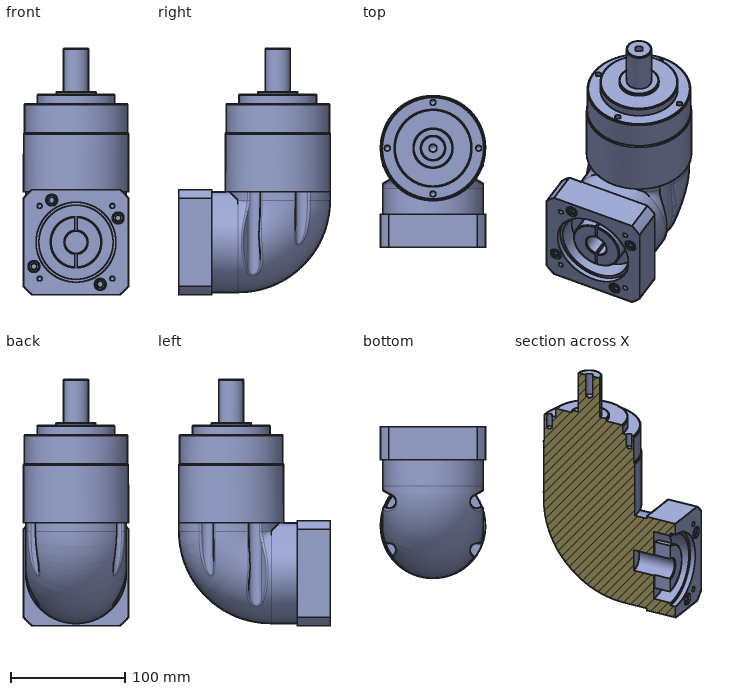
import cadquery as cq
import math


housing_radius = 46.0
housing_top_z = 94.4
flange_radius = 45.3
flange_base_z = 95.9
flange_top_z = 121.3
flange_chamfer = 1.0
pilot_radius = 34.0
pilot_top_z = 129.5
boss_radius = 17.5
boss_top_z = 131.8
shaft_radius = 11.0
shaft_top_z = 169.8
edge_chamfer = 0.8
flange_hole_diameter = 5.0
flange_hole_circle_radius = 40.0
flange_hole_depth = 12.0
shaft_hole_diameter = 6.8
shaft_hole_depth = 20.0
drill_point_angle = 118.0

tube_radius = 44.1
elbow_top_z = tube_radius
stub_centre_y = housing_radius - tube_radius
bend_outer_radius = 81.0
bend_axis_y = housing_radius - bend_outer_radius
bend_axis_z = bend_outer_radius - tube_radius
groove_radius = 5.7
groove_circle_radius = 43.6
groove_angles = (29, 151, 209, 331)
groove_length = 20.0
groove_edge_fillet = 2.0

plate_size = 92.0
plate_corner_radius = 60.0
plate_back_y = -57.7
plate_front_y = -86.8
pilot_recess_radius = 35.0
pilot_recess_depth = 5.0
cavity_radius = 32.5
cavity_depth = 21.7
motor_hole_pitch = 63.6
motor_hole_diameter = 4.2
motor_hole_depth = 12.0

hub_radius = 22.5
hub_front_depth = 6.0
hub_bore_radius = 9.8
hub_bore_depth = 36.0
hub_chamfer = 0.7
hub_slit_width = 2.0

screw_circle_radius = 42.5
screw_angles = (30, 120, 210, 300)
screw_recess_diameter = 10.2
screw_recess_depth = 1.5
screw_head_chamfer = 0.8
hex_across_flats = 5.0
hex_depth = 3.0


def cylinder_z(radius, bottom_z, top_z):
    return cq.Workplane("XY").workplane(offset=bottom_z).circle(radius).extrude(top_z - bottom_z)


def cylinder_y(radius, front_y, length):
    """Cylinder on the motor axis, running from front_y towards +Y."""
    axis_start = cq.Vector(0, front_y, 0)
    return cq.Workplane(cq.Solid.makeCylinder(radius, length, axis_start, cq.Vector(0, 1, 0)))


def drilled_hole(x, y, z, direction, diameter, depth):
    """Blind hole with a conical drill point."""
    radius = diameter / 2
    point_length = radius / math.tan(math.radians(drill_point_angle / 2))
    start = cq.Vector(x, y, z)
    axis = cq.Vector(*direction)
    bore = cq.Solid.makeCylinder(radius, depth, start, axis)
    point = cq.Solid.makeCone(radius, 0, point_length, start + axis * depth, axis)
    return cq.Workplane(bore).union(cq.Workplane(point))


def output_stack():
    """Housing, flange, pilot, boss and shaft turned about Z."""
    profile = [
        (0, elbow_top_z),
        (housing_radius, elbow_top_z),
        (housing_radius, housing_top_z),
        (flange_radius, flange_base_z),
        (flange_radius, flange_top_z - flange_chamfer),
        (flange_radius - flange_chamfer, flange_top_z),
        (pilot_radius, flange_top_z),
        (pilot_radius, pilot_top_z - edge_chamfer),
        (pilot_radius - edge_chamfer, pilot_top_z),
        (boss_radius, pilot_top_z),
        (boss_radius, boss_top_z - edge_chamfer),
        (boss_radius - edge_chamfer, boss_top_z),
        (shaft_radius, boss_top_z),
        (shaft_radius, shaft_top_z - edge_chamfer),
        (shaft_radius - edge_chamfer, shaft_top_z),
        (0, shaft_top_z),
    ]
    stack = cq.Workplane("XZ").polyline(profile).close().revolve(360, (0, 0, 0), (0, 1, 0))
    down = (0, 0, -1)
    stack = stack.cut(drilled_hole(0, 0, shaft_top_z, down, shaft_hole_diameter, shaft_hole_depth))
    for quarter in range(4):
        angle = math.radians(90 * quarter)
        x = flange_hole_circle_radius * math.cos(angle)
        y = flange_hole_circle_radius * math.sin(angle)
        hole = drilled_hole(x, y, flange_top_z, down, flange_hole_diameter, flange_hole_depth)
        stack = stack.cut(hole)
    return stack


def elbow():
    """Quarter bend between a stub under the housing and a tube to the motor plate."""
    half_width = math.sqrt(tube_radius**2 - (bend_axis_y - stub_centre_y) ** 2)
    bend = (
        cq.Workplane("XY", origin=(0, 0, bend_axis_z))
        .moveTo(-half_width, bend_axis_y)
        .threePointArc((0, housing_radius), (half_width, bend_axis_y))
        .close()
        .revolve(90, (1, bend_axis_y, 0), (0, bend_axis_y, 0))
    )
    stub = cylinder_z(tube_radius, bend_axis_z, elbow_top_z).translate((0, stub_centre_y, 0))
    tube = cylinder_y(tube_radius, plate_back_y, bend_axis_y - plate_back_y)
    body = bend.union(stub).union(tube)
    for angle in groove_angles:
        body = body.cut(groove(angle))
    for angle in groove_angles:
        body = body.newObject(groove_rim(body, angle)).fillet(groove_edge_fillet)
    return body


def groove_rim(body, angle):
    """Curved edges where one groove breaks through the outside of the elbow."""
    cutter = groove(angle).val()
    tolerance = 0.01
    rim = []
    for edge in body.edges("not %LINE").vals():
        middle = edge.positionAt(0.5)
        below_housing = middle.z < elbow_top_z - tolerance
        if below_housing and cutter.distance(cq.Vertex.makeVertex(*middle.toTuple())) < tolerance:
            rim.append(edge)
    return rim


def groove(angle):
    """Vertical round-bottomed groove, open outwards along a radius."""
    bottom_z = -tube_radius
    height = elbow_top_z - bottom_z
    base = cq.Workplane("XY").workplane(offset=bottom_z)
    bottom = base.center(groove_circle_radius, 0).circle(groove_radius).extrude(height)
    opening_centre = groove_circle_radius + groove_length / 2
    opening = base.center(opening_centre, 0).rect(groove_length, 2 * groove_radius).extrude(height)
    return bottom.union(opening).rotate((0, 0, 0), (0, 0, 1), angle)


def motor_plate():
    thickness = plate_back_y - plate_front_y
    middle_y = (plate_back_y + plate_front_y) / 2
    plate = cq.Workplane("XY").box(plate_size, thickness, plate_size).translate((0, middle_y, 0))
    plate = plate.intersect(cylinder_y(plate_corner_radius, plate_front_y, thickness))
    plate = plate.cut(cylinder_y(pilot_recess_radius, plate_front_y, pilot_recess_depth))
    plate = plate.cut(cylinder_y(cavity_radius, plate_front_y, cavity_depth))
    for x_side in (-1, 1):
        for z_side in (-1, 1):
            x = x_side * motor_hole_pitch / 2
            z = z_side * motor_hole_pitch / 2
            hole = drilled_hole(
                x, plate_front_y, z, (0, 1, 0), motor_hole_diameter, motor_hole_depth
            )
            plate = plate.cut(hole)
    for angle in screw_angles:
        plate = plate.cut(screw_recess(angle))
    return plate


def screw_recess(angle):
    """Space above a sunk screw head: recess, bevelled head rim and hexagon socket."""
    radius = screw_recess_diameter / 2
    head_y = plate_front_y + screw_recess_depth
    recess = cylinder_y(radius, plate_front_y, screw_recess_depth + screw_head_chamfer)
    head = cylinder_y(radius, head_y, 2 * screw_head_chamfer).faces("<Y").chamfer(screw_head_chamfer)
    hex_across_corners = hex_across_flats / math.cos(math.pi / 6)
    socket = (
        cq.Workplane("XZ", origin=(0, head_y, 0))
        .polygon(6, hex_across_corners)
        .extrude(-hex_depth)
    )
    space = recess.cut(head).union(socket).translate((screw_circle_radius, 0, 0))
    return space.rotate((0, 0, 0), (0, -1, 0), angle)


def clamping_hub():
    front_y = plate_front_y + hub_front_depth
    length = cavity_depth - hub_front_depth
    hub = cylinder_y(hub_radius, front_y, length).faces("<Y").chamfer(hub_chamfer)
    slit = cq.Workplane("XY").box(hub_slit_width, length, 2 * hub_radius)
    return hub.cut(slit.translate((0, front_y + length / 2, 0)))


def hub_bore():
    """Chamfered blind bore that receives the motor shaft."""
    front_y = plate_front_y + hub_front_depth
    mouth = cq.Solid.makeCone(
        hub_bore_radius + hub_chamfer,
        hub_bore_radius,
        hub_chamfer,
        cq.Vector(0, front_y, 0),
        cq.Vector(0, 1, 0),
    )
    return cylinder_y(hub_bore_radius, front_y, hub_bore_depth).union(cq.Workplane(mouth))


result = elbow().union(output_stack()).union(motor_plate()).union(clamping_hub()).cut(hub_bore())